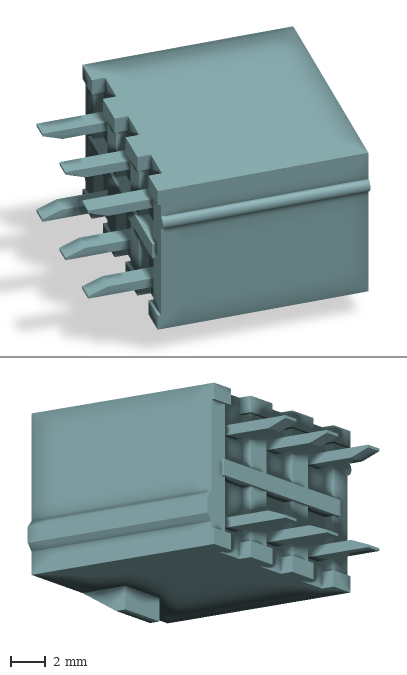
import cadquery as cq

body_width = 13.85
body_length = 12.8
body_height = 9.6

wall_setback = 0.2
lug_height = 0.98
rail_width = 11.82
rail_height = 0.98

terminal_pitch = 4.2
bay_setback = 0.82
bay_width = 2.64
bay_mouth_width = 2.04

pin_width = 1.12
pin_thickness = 0.6
overall_length = 16.3
pin_reach = overall_length - body_length
pin_tip_thickness = 0.16
pin_taper_length = 1.2
row_spacing = 5.5
row_middle_z = 4.56

side_projection = 0.37
ridge_middle_z = 2.3
ridge_base_height = 1.81
ridge_crest_height = 0.96
rib_radius = 0.4
rib_z = 7.4

latch_width = 3.45
latch_depth = 1.4
latch_length = 3.02
latch_crest_length = 0.67

half_width = body_width / 2
side_length = body_length - wall_setback
terminal_places = [column * terminal_pitch for column in (-1, 0, 1)]


def front_block(x, width, setback, length, bottom, height):
    """Box centred on x that starts behind the lug faces by setback and runs towards +Y."""
    return (
        cq.Workplane("XY")
        .box(width, length, height, centered=(True, False, False))
        .translate((x, setback, bottom))
    )


def make_housing():
    housing = front_block(0, body_width, 0, body_length, 0, body_height)
    wall_height = body_height - 2 * lug_height
    housing = housing.cut(front_block(0, body_width, 0, wall_setback, lug_height, wall_height))
    for x in terminal_places:
        bay = front_block(x, bay_width, 0, bay_setback, lug_height, wall_height)
        mouth = front_block(x, bay_mouth_width, 0, bay_setback, 0, body_height)
        housing = housing.cut(bay).cut(mouth)
    rail_bottom = (body_height - rail_height) / 2
    return housing.union(front_block(0, rail_width, 0, bay_setback, rail_bottom, rail_height))


def make_side_ridge():
    """Trapezoidal ridge along the -X side."""
    crest_x = -half_width - side_projection
    return (
        cq.Workplane("XZ", origin=(0, body_length, ridge_middle_z))
        .moveTo(-half_width, -ridge_base_height / 2)
        .lineTo(crest_x, -ridge_crest_height / 2)
        .lineTo(crest_x, ridge_crest_height / 2)
        .lineTo(-half_width, ridge_base_height / 2)
        .close()
        .extrude(side_length)
    )


def make_side_rib():
    """Round rib along the +X side, partly sunk into the housing."""
    rib_x = half_width + side_projection - rib_radius
    return (
        cq.Workplane("XZ", origin=(rib_x, body_length, rib_z))
        .circle(rib_radius)
        .extrude(side_length)
    )


def make_latch():
    """Wedge hook that slopes down from the rear edge to a flat crest."""
    latch_front = body_length - latch_length
    return (
        cq.Workplane("YZ")
        .moveTo(body_length, 0)
        .lineTo(latch_front, 0)
        .lineTo(latch_front, -latch_depth)
        .lineTo(latch_front + latch_crest_length, -latch_depth)
        .close()
        .extrude(latch_width / 2, both=True)
    )


def make_pin(x, side):
    """Terminal tapered towards the other row; side is 1 for the upper row, -1 for the lower."""
    outer_z = row_middle_z + side * (row_spacing + pin_thickness) / 2
    inner_z = outer_z - side * pin_thickness
    return (
        cq.Workplane("YZ", origin=(x, 0, 0))
        .moveTo(bay_setback, outer_z)
        .lineTo(-pin_reach, outer_z)
        .lineTo(-pin_reach, outer_z - side * pin_tip_thickness)
        .lineTo(pin_taper_length - pin_reach, inner_z)
        .lineTo(bay_setback, inner_z)
        .close()
        .extrude(pin_width / 2, both=True)
    )


result = make_housing().union(make_side_ridge()).union(make_side_rib()).union(make_latch())
for pin_x in terminal_places:
    for row_side in (1, -1):
        result = result.union(make_pin(pin_x, row_side))